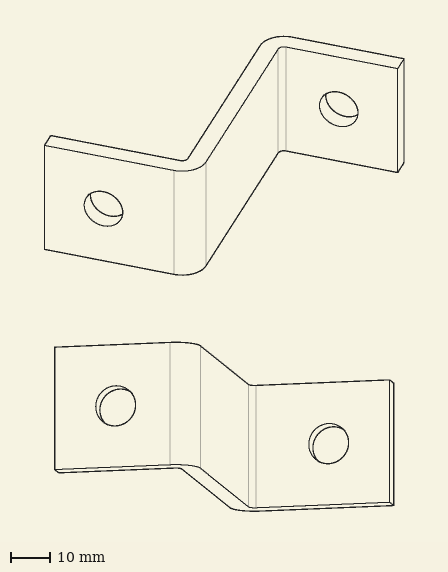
import cadquery as cq

length = 73.1
depth = 68.25
height = 31.7
thickness = 4.9
inner_radius = 1.5
outer_radius = inner_radius + thickness

web_left = 36.5
web_right = web_left + thickness

hole_diameter = 10.4
front_hole_x = 15.9
back_hole_x = 57.15


def bend_edge(body, x, y):
    """Select the vertical edge of the body that passes through (x, y)."""
    return body.edges(cq.selectors.NearestToPointSelector((x, y, height / 2)))


def flange_hole(x):
    """Cutter along Y, centred on the plate width."""
    return (
        cq.Workplane("XZ")
        .center(x, height / 2)
        .circle(hole_diameter / 2)
        .extrude(-depth)
    )


bracket = (
    cq.Workplane("XY")
    .moveTo(0, 0)
    .lineTo(web_right, 0)
    .lineTo(web_right, depth - thickness)
    .lineTo(length, depth - thickness)
    .lineTo(length, depth)
    .lineTo(web_left, depth)
    .lineTo(web_left, thickness)
    .lineTo(0, thickness)
    .close()
    .extrude(height)
)

bends = [
    (web_right, 0, outer_radius),
    (web_left, thickness, inner_radius),
    (web_left, depth, outer_radius),
    (web_right, depth - thickness, inner_radius),
]
for x, y, radius in bends:
    bracket = bend_edge(bracket, x, y).fillet(radius)

for hole_x in (front_hole_x, back_hole_x):
    bracket = bracket.cut(flange_hole(hole_x))

result = bracket